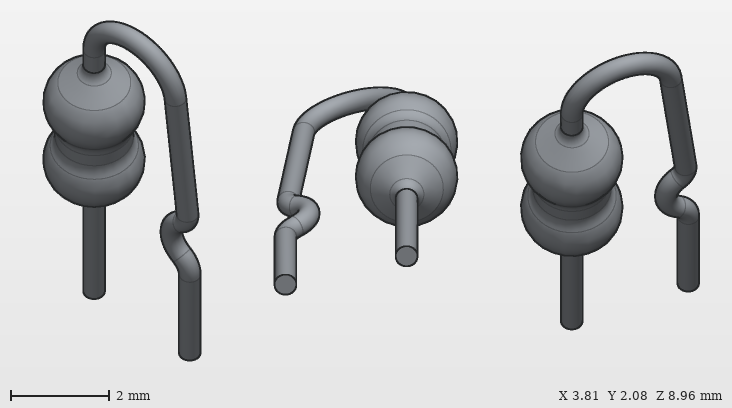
import cadquery as cq
import math


lead_diameter = 0.45
lead_radius = lead_diameter / 2
lead_pitch = 2.545
total_height = 8.96

body_center_z = 5.08
waist_radius = 1.6 / 2
waist_half_height = 0.16
bulge_radius = 1.04
bulge_half_spacing = 0.91
bulge_round = 0.77
shoulder_angle = math.radians(52)
neck_half_height = 2.08
neck_round = 0.32

arch_radius = 1.08
crimp_bottom_z = 2.49
crimp_angle = math.radians(54)
lower_bend_radius = 0.54
crimp_radius = 0.645
upper_bend_radius = 0.4


def bulge_point(angle):
    """Point on the bulge arc, as radius and height above the waist, at an angle up from its widest point."""
    return (
        bulge_radius - bulge_round * (1 - math.cos(angle)),
        bulge_half_spacing + bulge_round * math.sin(angle),
    )


def make_body():
    blend_angle = 2 * math.atan2(bulge_radius - waist_radius, bulge_half_spacing - waist_half_height)
    blend_radius, blend_height = bulge_point(-blend_angle)
    shoulder_radius, shoulder_height = bulge_point(shoulder_angle)
    neck_radius = lead_radius + neck_round * (1 - math.cos(shoulder_angle))
    neck_height = neck_half_height - neck_round * math.sin(shoulder_angle)
    neck_arc_middle = (
        lead_radius + neck_round * (1 - math.cos(shoulder_angle / 2)),
        -neck_half_height + neck_round * math.sin(shoulder_angle / 2),
    )

    profile = (
        cq.Workplane("XZ", origin=(0, 0, body_center_z))
        .moveTo(0, -neck_half_height)
        .lineTo(lead_radius, -neck_half_height)
        .threePointArc(neck_arc_middle, (neck_radius, -neck_height))
        .lineTo(shoulder_radius, -shoulder_height)
        .threePointArc((bulge_radius, -bulge_half_spacing), (blend_radius, -blend_height))
        .tangentArcPoint((waist_radius, -waist_half_height), relative=False)
        .lineTo(waist_radius, waist_half_height)
        .tangentArcPoint((blend_radius, blend_height), relative=False)
        .threePointArc((bulge_radius, bulge_half_spacing), (shoulder_radius, shoulder_height))
        .lineTo(neck_radius, neck_height)
        .tangentArcPoint((lead_radius, neck_half_height), relative=False)
        .lineTo(0, neck_half_height)
        .close()
    )
    return profile.revolve(360, (0, 0, 0), (0, 1, 0))


def make_lower_lead():
    return cq.Workplane("XY").circle(lead_radius).extrude(body_center_z - neck_half_height)


def bent_lead_path():
    """Centre line in the XZ plane, from the top of the body over the arch and down through the crimp."""
    start = (0, body_center_z + neck_half_height)
    arch_center = (arch_radius, total_height - lead_radius - arch_radius)

    crimp_bottom = (lead_pitch, crimp_bottom_z)
    crimp_low = (
        lead_pitch - lower_bend_radius * (1 - math.cos(crimp_angle)),
        crimp_bottom_z + lower_bend_radius * math.sin(crimp_angle),
    )
    crimp_high = (crimp_low[0], crimp_low[1] + 2 * crimp_radius * math.sin(crimp_angle))
    bend_center = (
        crimp_high[0] - upper_bend_radius * math.cos(crimp_angle),
        crimp_high[1] + upper_bend_radius * math.sin(crimp_angle),
    )

    run_x = bend_center[0] - arch_center[0]
    run_z = arch_center[1] - bend_center[1]
    center_distance = math.hypot(run_x, run_z)
    tilt = math.atan2(run_x, run_z) - math.asin((arch_radius - upper_bend_radius) / center_distance)

    def tangent_point(center, radius):
        return (center[0] + radius * math.cos(tilt), center[1] + radius * math.sin(tilt))

    return (
        cq.Workplane("XZ")
        .moveTo(*start)
        .lineTo(0, arch_center[1])
        .threePointArc(
            (arch_radius, arch_center[1] + arch_radius),
            tangent_point(arch_center, arch_radius),
        )
        .lineTo(*tangent_point(bend_center, upper_bend_radius))
        .tangentArcPoint(crimp_high, relative=False)
        .tangentArcPoint(crimp_low, relative=False)
        .tangentArcPoint(crimp_bottom, relative=False)
        .lineTo(lead_pitch, 0)
    )


def make_bent_lead():
    section = cq.Workplane("XY", origin=(0, 0, body_center_z + neck_half_height)).circle(lead_radius)
    return section.sweep(bent_lead_path())


body = make_body()
lower_lead = make_lower_lead()
bent_lead = make_bent_lead()

result = cq.Compound.makeCompound([body.val(), lower_lead.val(), bent_lead.val()])